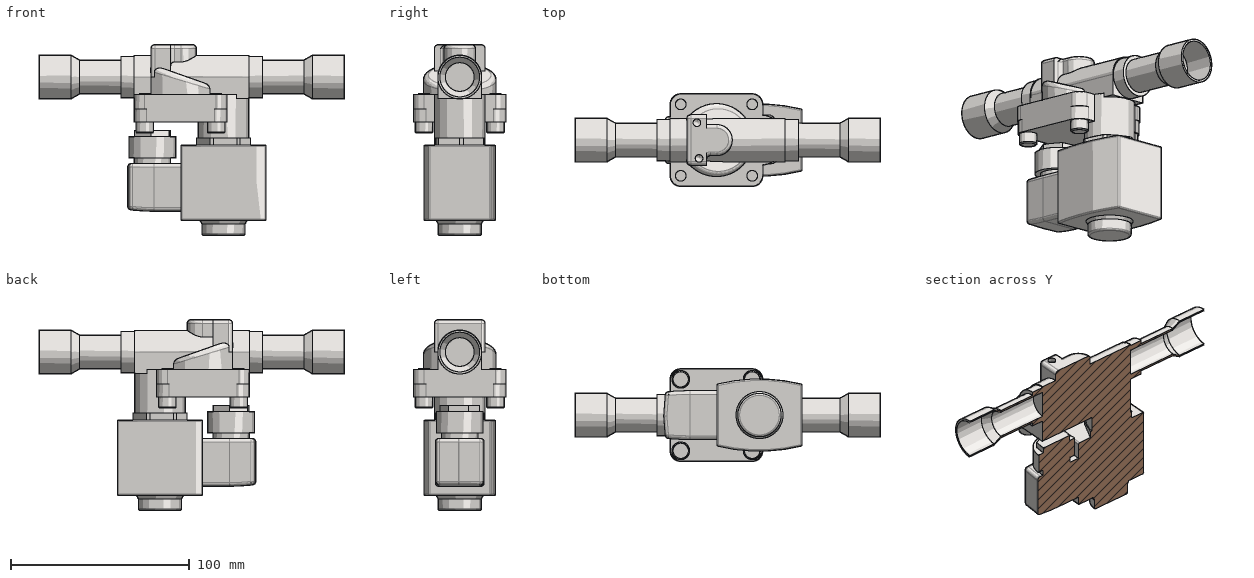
import cadquery as cq
import math

run_length = 171.0
socket_diameter = 24.6
socket_bore = 22.2
socket_depth = 17.8
cone_length = 5.0
tube_diameter = 19.0
tube_bore = 16.0
collar_diameter = 23.3
collar_length = 7.4

body_start = -32.3
body_end = 32.0
body_width = 24.3
body_bottom = -12.0

flange_size = 52.0
flange_x = body_start + flange_size / 2
flange_top = -9.7
flange_split = -18.0
flange_bottom = -25.3
upper_corner_radius = 6.0
lower_corner_radius = 7.0
screw_offset = 20.0
screw_diameter = 6.0
screw_protrusion = 0.5
screw_head_diameter = 10.0
screw_head_height = 6.2
screw_head_chamfer = 0.7

chamber_diameter = 40.9
chamber_center_top = 1.4
chamber_slope = 19.4
chamber_fillet = 2.9

block_start = -22.9
block_end = -11.8
block_width = 28.5
block_top = 18.1
block_fillet = 2.2
tongue_center = -6.2
tongue_radius = 8.7
tongue_corner_radius = 2.0
tongue_fillet = 2.0
pilot_hole_diameter = 4.3
pilot_hole_depth = 2.5
pilot_tip_angle = 118.0
pilot_hole_centers = [(-17.3, 9.7), (-16.0, -10.3)]

stem_diameter = 28.4
stem_x = body_end - stem_diameter / 2
stem_bottom = -34.0
stem_hex_flats = 27.4
stem_hex_corners = 30.5
stem_hex_turn = 4.0

coil_length = 47.9
coil_top = -38.1
coil_bottom = -80.4
coil_end_width = 34.5
coil_mid_width = 40.5
coil_fillet = 0.9
cap_diameter = 24.3
cap_flare_diameter = 26.3
cap_flare_height = 1.9
cap_bottom = -88.7
cap_fillet = 1.0

box_start = -35.9
box_break = -21.0
box_top = -48.4
box_bottom = -75.2
box_bottom_rise = 1.0
box_width = 27.4
box_end_width = 26.0
box_nose = 1.0
box_ridge_y = 0.5
box_fillet = 2.0
box_overlap = 12.0

gland_x = -22.0
gland_neck_diameter = 20.3
gland_nut_diameter = 26.3
gland_nut_bottom = -45.3
gland_nut_top = -33.3
gland_hex_top = -30.0
gland_hex_corners = 22.4
gland_hex_turn = 25.4


def cylinder(x, y, bottom, top, diameter):
    """Upright cylinder between two heights."""
    disc = cq.Workplane("XY", origin=(x, y, bottom)).circle(diameter / 2)
    return disc.extrude(top - bottom)


def hexagon(x, bottom, top, corner_diameter, turn):
    """Upright hexagonal prism on the XZ plane, turned about its own axis."""
    prism = cq.Workplane("XY").polygon(6, corner_diameter).extrude(top - bottom)
    return prism.rotate((0, 0, 0), (0, 0, 1), turn).translate((x, 0, bottom))


def pipe_end():
    """Collar, tube and flared socket on the -X side, bored up to the body."""
    end = -run_length / 2
    cone_start = end + socket_depth
    cone_end = cone_start + cone_length
    collar_start = body_start - collar_length
    profile = [
        (end, socket_bore / 2),
        (end, socket_diameter / 2),
        (cone_start, socket_diameter / 2),
        (cone_end, tube_diameter / 2),
        (collar_start, tube_diameter / 2),
        (collar_start, collar_diameter / 2),
        (0, collar_diameter / 2),
        (0, 0),
        (body_start, 0),
        (body_start, tube_bore / 2),
        (cone_end, tube_bore / 2),
        (cone_start, socket_bore / 2),
    ]
    return cq.Workplane("XZ").polyline(profile).close().revolve(360, (0, 0, 0), (1, 0, 0))


def body():
    """Half-round top with straight sides running down below the axis."""
    length = body_end - body_start
    barrel = cq.Workplane("YZ", origin=(body_start, 0, 0)).circle(body_width / 2).extrude(length)
    skirt = cq.Workplane("XY", origin=(body_start, 0, body_bottom))
    skirt = skirt.rect(length, body_width, centered=(False, True)).extrude(-body_bottom)
    return barrel.union(skirt)


def flange_layer(bottom, top, corner_radius):
    """Square plate with rounded corners between two heights."""
    plate = cq.Workplane("XY", origin=(flange_x, 0, bottom)).rect(flange_size, flange_size)
    return plate.extrude(top - bottom).edges("|Z").fillet(corner_radius)


def flange():
    """Two-layer flange with a screw head and protruding shank end at each corner."""
    plate = flange_layer(flange_split, flange_top, upper_corner_radius)
    plate = plate.union(flange_layer(flange_bottom, flange_split, lower_corner_radius))
    for x in (flange_x - screw_offset, flange_x + screw_offset):
        for y in (-screw_offset, screw_offset):
            head = cylinder(x, y, flange_bottom - screw_head_height, flange_bottom, screw_head_diameter)
            head = head.faces("<Z").chamfer(screw_head_chamfer)
            shank = cylinder(x, y, flange_bottom, flange_top + screw_protrusion, screw_diameter)
            plate = plate.union(head).union(shank)
    return plate


def chamber():
    """Round chamber whose filleted top slopes down toward +X."""
    radius = chamber_diameter / 2
    drop = radius * math.tan(math.radians(chamber_slope))
    side = [
        (flange_x - radius, flange_bottom),
        (flange_x + radius, flange_bottom),
        (flange_x + radius, chamber_center_top - drop),
        (flange_x - radius, chamber_center_top + drop),
    ]
    wedge = cq.Workplane("XZ").polyline(side).close().extrude(radius, both=True)
    drum = cylinder(flange_x, 0, flange_bottom, chamber_center_top + drop, chamber_diameter)
    return drum.intersect(wedge).faces(">Z").edges().fillet(chamber_fillet)


def pilot_block():
    """Block and tongue standing on the pipe axis plane, with two drilled holes."""
    block = cq.Workplane("XY").moveTo(block_start, 0)
    block = block.rect(block_end - block_start, block_width, centered=(False, True)).extrude(block_top)
    block = block.edges("|Z and <X").fillet(block_fillet)
    block = block.faces(">Z").edges("not >X").fillet(block_fillet)

    inner_corner = (block_end, -tongue_radius - tongue_corner_radius)
    tongue = (
        cq.Workplane("XY")
        .moveTo(block_end - block_fillet, tongue_radius)
        .lineTo(tongue_center, tongue_radius)
        .radiusArc((tongue_center, -tongue_radius), tongue_radius)
        .lineTo(block_end + tongue_corner_radius, -tongue_radius)
        .radiusArc(inner_corner, -tongue_corner_radius)
        .lineTo(block_end - block_fillet, inner_corner[1])
        .close()
        .extrude(block_top)
    )
    tongue_rim = cq.selectors.BoxSelector(
        (block_end, -block_width, block_top - tongue_fillet),
        (tongue_center + block_width, block_width, block_top + tongue_fillet),
    )
    tongue = tongue.edges(tongue_rim).fillet(tongue_fillet)
    block = block.union(tongue)

    radius = pilot_hole_diameter / 2
    tip = radius / math.tan(math.radians(pilot_tip_angle / 2))
    drill = [(0, 0), (radius, 0), (radius, -pilot_hole_depth), (0, -pilot_hole_depth - tip)]
    for x, y in pilot_hole_centers:
        hole = cq.Workplane("XZ").polyline(drill).close().revolve(360, (0, 0, 0), (0, 1, 0))
        block = block.cut(hole.translate((x, y, block_top)))
    return block


def stem():
    """Round column under the body, ending in a hexagon with rounded-off corners."""
    column = cylinder(stem_x, 0, stem_bottom, flange_top, stem_diameter)
    sharp_corners = stem_hex_flats / math.cos(math.pi / 6)
    nut = hexagon(stem_x, coil_top, stem_bottom, sharp_corners, stem_hex_turn)
    nut = nut.intersect(cylinder(stem_x, 0, coil_top, stem_bottom, stem_hex_corners))
    return column.union(nut)


def coil():
    """Housing with two bulged sides, closed by a flared cap underneath."""
    left = stem_x - coil_length / 2
    right = stem_x + coil_length / 2
    end_y = coil_end_width / 2
    mid_y = coil_mid_width / 2
    housing = (
        cq.Workplane("XY", origin=(0, 0, coil_bottom))
        .moveTo(left, -end_y)
        .threePointArc((stem_x, -mid_y), (right, -end_y))
        .lineTo(right, end_y)
        .threePointArc((stem_x, mid_y), (left, end_y))
        .close()
        .extrude(coil_top - coil_bottom)
        .edges()
        .fillet(coil_fillet)
    )
    cap = cylinder(stem_x, 0, cap_bottom, coil_bottom, cap_diameter).faces("<Z").edges().fillet(cap_fillet)
    flare = cq.Workplane("XY", origin=(stem_x, 0, coil_bottom)).circle(cap_flare_diameter / 2)
    flare = flare.workplane(offset=-cap_flare_height).circle(cap_diameter / 2).loft()
    return housing.union(cap).union(flare)


def connector_box():
    """Box whose sides and underside curve inward toward a -X end with a blunt upright ridge."""
    inner_end = stem_x - coil_length / 2 + box_overlap
    shoulder = box_start + box_nose
    half_width = box_width / 2
    half_end = box_end_width / 2
    taper_length = box_break - shoulder
    taper = half_width - half_end
    side_radius = (taper_length**2 + taper**2) / (2 * taper)
    end_bottom = box_bottom + box_bottom_rise
    box = (
        cq.Workplane("XY", origin=(0, 0, box_bottom))
        .moveTo(inner_end, -half_width)
        .lineTo(inner_end, half_width)
        .lineTo(box_break, half_width)
        .radiusArc((shoulder, half_end), -side_radius)
        .lineTo(box_start, box_ridge_y)
        .lineTo(shoulder, -half_end)
        .radiusArc((box_break, -half_width), -side_radius)
        .close()
        .extrude(box_top - box_bottom)
    )
    side = (
        cq.Workplane("XZ")
        .moveTo(inner_end, box_top)
        .lineTo(inner_end, box_bottom)
        .lineTo(box_break, box_bottom)
        .tangentArcPoint((box_start, end_bottom), relative=False)
        .lineTo(box_start, box_top)
        .close()
        .extrude(box_width, both=True)
    )
    box = box.intersect(side)
    nose_corners = cq.selectors.BoxSelector(
        (box_start, -box_width, box_bottom), (shoulder + box_nose, box_width, box_top)
    )
    box = box.edges(nose_corners).edges("|Z").fillet(box_fillet)
    box = box.faces(">Z").edges("not >X").fillet(box_fillet)
    underside = cq.selectors.BoxSelector(
        (box_start, -box_width, box_bottom - box_fillet), (inner_end, box_width, box_bottom + box_fillet)
    )
    return box.faces(underside).edges("not |Y").fillet(box_fillet)


def cable_gland():
    """Neck, round nut and hexagonal head standing on the connector box."""
    neck = cylinder(gland_x, 0, box_top - box_fillet, gland_nut_bottom, gland_neck_diameter)
    nut = cylinder(gland_x, 0, gland_nut_bottom, gland_nut_top, gland_nut_diameter)
    hex_head = hexagon(gland_x, gland_nut_top, gland_hex_top, gland_hex_corners, gland_hex_turn)
    return neck.union(nut).union(hex_head)


result = (
    body()
    .union(pipe_end())
    .union(pipe_end().mirror("YZ"))
    .union(flange())
    .union(chamber())
    .union(pilot_block())
    .union(stem())
    .union(coil())
    .union(connector_box())
    .union(cable_gland())
)